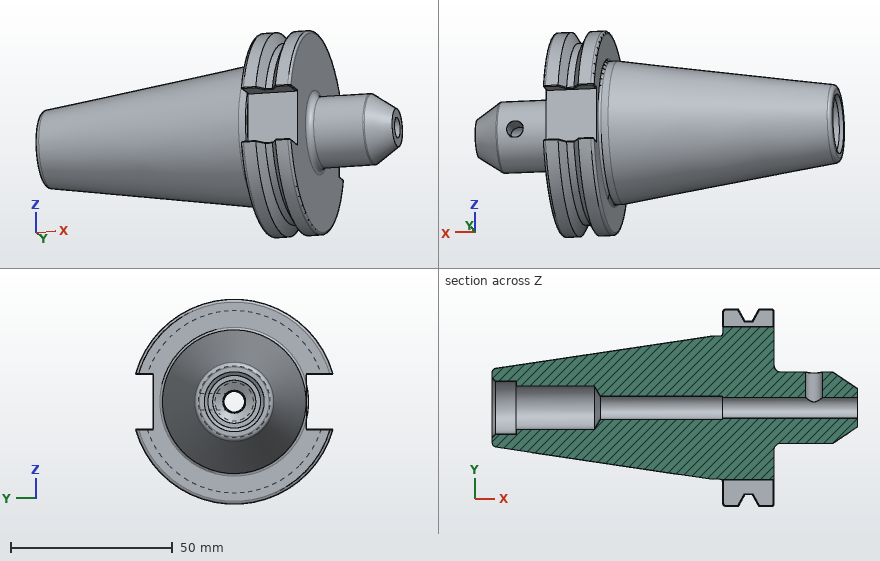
import cadquery as cq
import math


length = 113.2
taper_end = 68.3
flange_start = 71.4
flange_end = 87.4
nose_end = 105.5

gauge_diameter = 44.5
small_end_diameter = 24.1
small_end_fillet = 1.5
collar_fillet = 0.8

flange_diameter = 63.5
flange_front_edge = 0.9
flange_back_edge = 0.8
groove_floor_diameter = 56.5
groove_center = 79.4
groove_floor_width = 2.3
groove_angle = 60.0

slot_width = 16.7
slot_edge_chamfer = 0.3
slot_floor_rear = 25.1
slot_floor_front = 22.3

nose_diameter = 22.2
nose_root_fillet = 2.0
tip_diameter = 11.9
cone_edge_fillet = 0.7

mouth_diameter = 18.6
mouth_depth = 1.1
counterbore_diameter = 16.3
counterbore_depth = 7.5
thread_bore_diameter = 13.4
thread_bore_depth = 31.7
drill_point_angle = 118.0
drill_diameter = 7.1
drill_depth = 71.3
coolant_diameter = 6.3

cross_hole_diameter = 5.2
cross_hole_x = 99.7


def revolve_about_x(profile):
    return profile.close().revolve(360, (0, 0, 0), (1, 0, 0))


def circle_edges(body, x, diameter):
    """Circular edges of a turned body at one position and diameter."""
    reach = 0.06
    outer = diameter / 2 + reach
    box = cq.selectors.BoxSelector((x - reach, -outer, -outer), (x + reach, outer, outer), boundingbox=True)
    return body.edges(box).edges(cq.selectors.RadiusNthSelector(-1))


def make_body():
    groove_floor_half = groove_floor_width / 2
    groove_depth = (flange_diameter - groove_floor_diameter) / 2
    groove_top_half = groove_floor_half + groove_depth * math.tan(math.radians(groove_angle / 2))
    body = revolve_about_x(
        cq.Workplane("XY")
        .moveTo(0, 0)
        .lineTo(0, small_end_diameter / 2)
        .lineTo(taper_end, gauge_diameter / 2)
        .lineTo(flange_start, gauge_diameter / 2)
        .lineTo(flange_start, flange_diameter / 2)
        .lineTo(groove_center - groove_top_half, flange_diameter / 2)
        .lineTo(groove_center - groove_floor_half, groove_floor_diameter / 2)
        .lineTo(groove_center + groove_floor_half, groove_floor_diameter / 2)
        .lineTo(groove_center + groove_top_half, flange_diameter / 2)
        .lineTo(flange_end, flange_diameter / 2)
        .lineTo(flange_end, nose_diameter / 2)
        .lineTo(nose_end, nose_diameter / 2)
        .lineTo(length, tip_diameter / 2)
        .lineTo(length, 0)
    )
    rounded_edges = [
        (0, small_end_diameter, small_end_fillet),
        (flange_start, gauge_diameter, collar_fillet),
        (flange_start, flange_diameter, flange_front_edge),
        (flange_end, flange_diameter, flange_back_edge),
        (flange_end, nose_diameter, nose_root_fillet),
        (nose_end, nose_diameter, cone_edge_fillet),
    ]
    for x, diameter, radius in rounded_edges:
        body = circle_edges(body, x, diameter).fillet(radius)
    return body


def make_slot(floor, side):
    """Block for a drive slot on the +Y (side = 1) or -Y (side = -1) half of the flange."""
    depth = flange_diameter / 2
    return cq.Workplane("XY").box(
        flange_end - flange_start, depth, slot_width, centered=(False, True, True)
    ).translate((flange_start, side * (floor + depth / 2), 0))


def make_bore():
    cone_drop = (thread_bore_diameter - drill_diameter) / 2
    cone_length = cone_drop / math.tan(math.radians(drill_point_angle / 2))
    return revolve_about_x(
        cq.Workplane("XY")
        .moveTo(0, 0)
        .lineTo(0, mouth_diameter / 2)
        .lineTo(mouth_depth, counterbore_diameter / 2)
        .lineTo(counterbore_depth, counterbore_diameter / 2)
        .lineTo(counterbore_depth, thread_bore_diameter / 2)
        .lineTo(thread_bore_depth, thread_bore_diameter / 2)
        .lineTo(thread_bore_depth + cone_length, drill_diameter / 2)
        .lineTo(drill_depth, drill_diameter / 2)
        .lineTo(drill_depth, coolant_diameter / 2)
        .lineTo(length, coolant_diameter / 2)
        .lineTo(length, 0)
    )


def make_cross_hole():
    """Radial hole from the axial bore out through the +Y side of the nose."""
    return (
        cq.Workplane("XZ")
        .center(cross_hole_x, 0)
        .circle(cross_hole_diameter / 2)
        .extrude(-nose_diameter)
    )


def chamfer_slot_walls(body):
    """Break the outer edges of the slot side walls, leaving the corners at the slot floors sharp."""
    reach = 0.01
    outer = flange_diameter / 2
    for side, floor in ((1, slot_floor_rear), (-1, slot_floor_front)):
        for wall_z in (-slot_width / 2, slot_width / 2):
            inner_y = side * (floor - reach)
            outer_y = side * outer
            wall_box = cq.selectors.BoxSelector(
                (flange_start - reach, inner_y, wall_z - reach),
                (flange_end + reach, outer_y, wall_z + reach),
                boundingbox=True,
            )
            floor_box = cq.selectors.BoxSelector(
                (flange_start - reach, inner_y, wall_z - reach),
                (flange_end + reach, side * (floor + reach), wall_z + reach),
                boundingbox=True,
            )
            body = body.edges(wall_box - floor_box).chamfer(slot_edge_chamfer)
    return body


slotted_body = make_body().cut(make_slot(slot_floor_rear, 1)).cut(make_slot(slot_floor_front, -1))
result = chamfer_slot_walls(slotted_body).cut(make_bore()).cut(make_cross_hole())